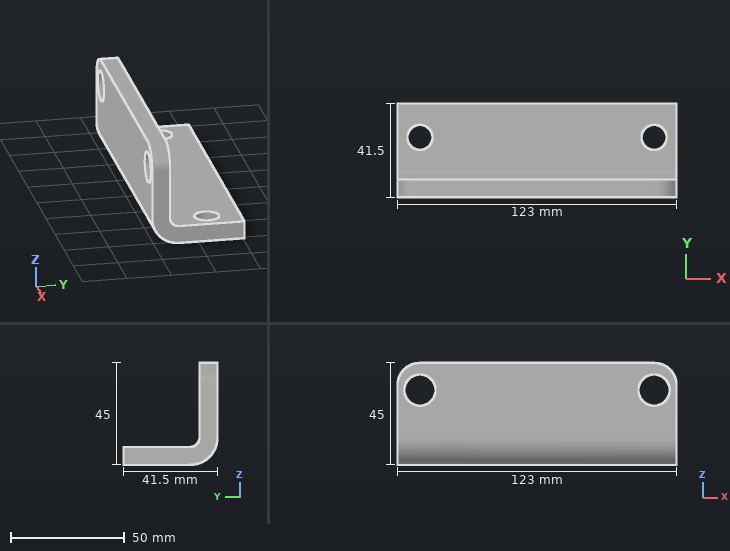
import cadquery as cq

length = 123.0
depth = 41.5
height = 45.0

thickness = 8.0
inner_bend_radius = 4.0
outer_bend_radius = inner_bend_radius + thickness

corner_radius = 10.0

hole_spacing = length - 2 * corner_radius
upright_hole_diameter = 13.7
upright_hole_height = 33.0
base_hole_diameter = 11.0
base_hole_from_back = 15.0


def bent_sheet():
    """L-shaped sheet, upright flange at the front, centred on X."""
    profile = (
        cq.Workplane("YZ")
        .polyline([
            (0, 0),
            (depth, 0),
            (depth, thickness),
            (thickness, thickness),
            (thickness, height),
            (0, height),
        ])
        .close()
    )
    sheet = profile.extrude(length / 2, both=True)
    inner_edge = cq.selectors.NearestToPointSelector((0, thickness, thickness))
    outer_edge = cq.selectors.NearestToPointSelector((0, 0, 0))
    sheet = sheet.edges("|X").edges(inner_edge).fillet(inner_bend_radius)
    return sheet.edges("|X").edges(outer_edge).fillet(outer_bend_radius)


def hole_pair(plane, distance, diameter, cut_length):
    """Two cylinders placed symmetrically about X = 0."""
    half_spacing = hole_spacing / 2
    return (
        cq.Workplane(plane)
        .pushPoints([(-half_spacing, distance), (half_spacing, distance)])
        .circle(diameter / 2)
        .extrude(cut_length)
    )


bracket = bent_sheet().edges("|Y and >Z").edges("<X or >X").fillet(corner_radius)

upright_holes = hole_pair("XZ", upright_hole_height, upright_hole_diameter, -thickness)
base_holes = hole_pair("XY", depth - base_hole_from_back, base_hole_diameter, thickness)

result = bracket.cut(upright_holes).cut(base_holes)